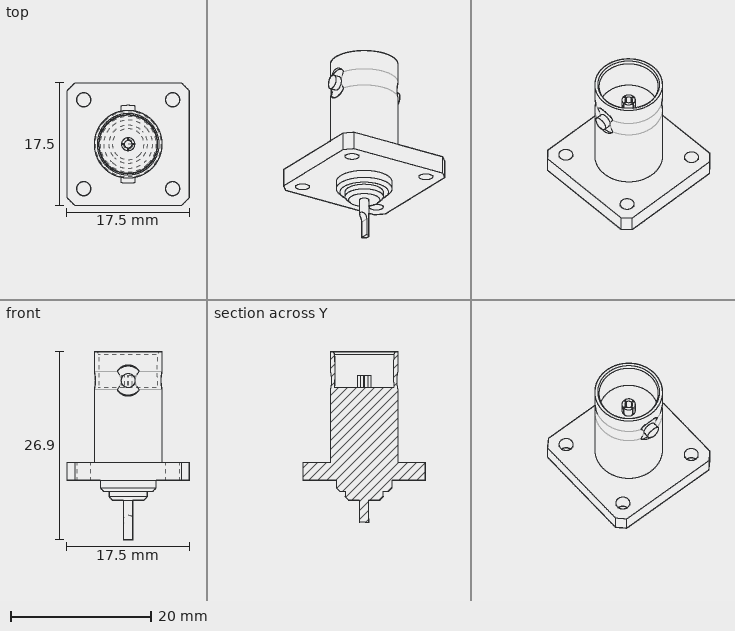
import cadquery as cq
import math

total_height = 26.87
flange_bottom = 8.5
flange_thickness = 2.58
flange_top = flange_bottom + flange_thickness

flange_side = 17.5
corner_chamfer = 1.13
hole_spacing = 12.68
hole_diameter = 2.0

barrel_radius = 4.85
bore_end_radius = 4.22
bore_waist_radius = 4.15
bore_mouth_radius = 4.4
mouth_depth = 0.4
bore_floor = 21.76

lug_height = 22.73
groove_half_width = 1.25
groove_depth = 0.13
spotface_floor_radius = 2.07
spotface_rim_radius = 2.23
spotface_offset = 4.6
lug_radius = 1.0
lug_reach = 5.55

contact_radius = 0.95
contact_bore_radius = 0.55
contact_height = 1.72
contact_slot_width = 0.13

upper_step_radius = 3.98
upper_step_height = 1.6
lower_step_radius = 2.75
lower_step_height = 1.24
step_chamfer = 0.5

pin_radius = 0.67
half_round_length = 2.42
runout_radius = 1.24


def cylinder(radius, bottom, height):
    return cq.Workplane("XY").workplane(offset=bottom).circle(radius).extrude(height)


def make_flange():
    flange = (
        cq.Workplane("XY")
        .workplane(offset=flange_bottom)
        .rect(flange_side, flange_side)
        .extrude(flange_thickness)
        .edges("|Z")
        .chamfer(corner_chamfer)
    )
    return (
        flange.faces(">Z")
        .workplane()
        .rect(hole_spacing, hole_spacing, forConstruction=True)
        .vertices()
        .hole(hole_diameter)
    )


def make_barrel():
    """Revolve the barrel wall and floor, including the groove and bore mouth."""
    bore_top = total_height - mouth_depth
    bore_middle = (bore_top + bore_floor) / 2
    return (
        cq.Workplane("XZ")
        .moveTo(0, flange_top)
        .lineTo(barrel_radius, flange_top)
        .lineTo(barrel_radius, lug_height - groove_half_width)
        .threePointArc(
            (barrel_radius - groove_depth, lug_height),
            (barrel_radius, lug_height + groove_half_width),
        )
        .lineTo(barrel_radius, total_height)
        .lineTo(bore_mouth_radius, total_height)
        .lineTo(bore_end_radius, bore_top)
        .threePointArc((bore_waist_radius, bore_middle), (bore_end_radius, bore_floor))
        .lineTo(0, bore_floor)
        .close()
        .revolve(360, (0, 0), (0, 1))
    )


def make_spotface(side):
    """Flat-bottomed conical recess on the +Y (side = 1) or -Y (side = -1) side."""
    wall_slope = (spotface_rim_radius - spotface_floor_radius) / (barrel_radius - spotface_offset)
    cut_depth = lug_reach - spotface_offset
    cone = cq.Solid.makeCone(
        spotface_floor_radius,
        spotface_floor_radius + wall_slope * cut_depth,
        cut_depth,
        cq.Vector(0, side * spotface_offset, lug_height),
        cq.Vector(0, side, 0),
    )
    return cq.Workplane(cone)


def make_lug(side):
    """Radial lug whose end face is rounded about the barrel axis."""
    lug = cq.Solid.makeCylinder(
        lug_radius,
        lug_reach - bore_mouth_radius,
        cq.Vector(0, side * bore_mouth_radius, lug_height),
        cq.Vector(0, side, 0),
    )
    envelope = cylinder(lug_reach, lug_height - lug_radius, 2 * lug_radius)
    return cq.Workplane(lug).intersect(envelope)


def add_lugs(barrel):
    for side in (1, -1):
        barrel = barrel.cut(make_spotface(side)).union(make_lug(side))
    return barrel


def make_contact():
    contact = cylinder(contact_radius, bore_floor, contact_height)
    contact = contact.cut(cylinder(contact_bore_radius, bore_floor, contact_height))
    for angle in (0, 90):
        slot = (
            cq.Workplane("XY")
            .workplane(offset=bore_floor)
            .rect(2 * contact_radius, contact_slot_width)
            .extrude(contact_height)
            .rotate((0, 0, 0), (0, 0, 1), angle)
        )
        contact = contact.cut(slot)
    return contact


def make_rear_body():
    upper_bottom = flange_bottom - upper_step_height
    lower_bottom = upper_bottom - lower_step_height
    upper = cylinder(upper_step_radius, upper_bottom, upper_step_height)
    lower = cylinder(lower_step_radius, lower_bottom, lower_step_height)
    upper = upper.faces("<Z").chamfer(step_chamfer)
    lower = lower.faces("<Z").chamfer(step_chamfer)
    return upper.union(lower)


def make_pin():
    """Round pin whose +Y half is cut away at the tip, with an arc run-out."""
    pin = cylinder(pin_radius, 0, flange_bottom)
    runout_height = math.sqrt(runout_radius**2 - (runout_radius - pin_radius) ** 2)
    half_angle = math.acos((runout_radius - pin_radius) / runout_radius) / 2
    runout_middle = (
        runout_radius * (1 - math.cos(half_angle)),
        half_round_length + runout_radius * math.sin(half_angle),
    )
    cutter = (
        cq.Workplane("YZ")
        .moveTo(0, 0)
        .lineTo(0, half_round_length)
        .threePointArc(runout_middle, (pin_radius, half_round_length + runout_height))
        .lineTo(pin_radius, 0)
        .close()
        .extrude(pin_radius, both=True)
    )
    return pin.cut(cutter)


result = (
    make_flange()
    .union(add_lugs(make_barrel()))
    .union(make_contact())
    .union(make_rear_body())
    .union(make_pin())
)